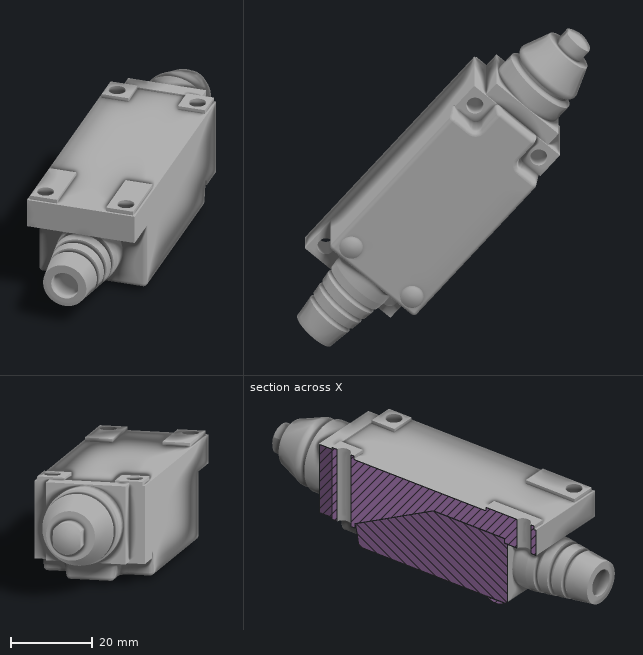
import cadquery as cq
import math


body_width = 28.0
body_length = 63.6
body_height = 24.5
lip_bottom = 17.2
split_top = 18.5
split_slope_start = 32.1
split_slope_end = 56.3
split_step_top = 6.1
split_step_bottom = 4.8

pad_width = 7.0
pad_height = 1.0
pad_margin = 0.6
gland_pad_length = 15.2
plunger_pad_length = 7.0
hole_diameter = 4.2
hole_spacing = 20.9
hole_end_distance = 3.8

cover_end = 8.9
cover_overhang = 0.2
cover_far_end = body_length + cover_overhang
cover_fillet = 1.0
notch_wall_x = 7.0
notch_corner_radius = 2.0
notch_draft = 10.0

screw_spacing = 19.9
screw_y = 12.8
screw_radius = 2.9
screw_head_height = 1.0

head_axis_z = 15.2
flange_width = 20.3
flange_height = 19.7
flange_thickness = 3.9
boot_collar_radius = 9.5
boot_collar_length = 4.8
boot_neck_radius = 8.0
boot_neck_start = 5.7
boot_neck_end = 6.4
boot_rim_radius = 9.0
boot_rim_y = 7.8
boot_cone_radius = 8.9
boot_cone_start = 8.4
boot_front_radius = 6.2
boot_length = 15.4
plunger_radius = 4.0
plunger_across_flats = 7.0
plunger_length = 5.0
plunger_dome_height = 1.3

gland_axis_z = 9.2
gland_radius = 7.9
gland_end_radius = 5.6
gland_bore_radius = 3.5
gland_straight_length = 4.1
gland_length = 21.5
groove_first = 6.3
groove_pitch = 3.9
groove_count = 3
groove_width = 1.4
groove_depth = 1.3


def revolve_about_y(profile, axis_z, start_y):
    """Turn a closed profile of (radius, distance along Y) about an axis parallel to Y."""
    turned = profile.close().revolve(360, (0, 0, 0), (0, 1, 0))
    return turned.translate((0, start_y, axis_z))


def extrude_side_outline(points):
    """Extrude a (Y, Z) outline over the full body width, centred on X = 0."""
    return cq.Workplane("YZ").polyline(points).close().extrude(body_width / 2, both=True)


split_line = [
    (split_slope_end, split_step_bottom),
    (split_slope_end, split_step_top),
    (split_slope_start, split_top),
    (cover_end + cover_fillet, split_top),
    (cover_end + cover_fillet, lip_bottom),
]


def make_housing():
    plunger_end = [(body_length, body_height), (body_length, split_step_bottom)]
    outline = [(0, body_height)] + plunger_end + split_line + [(0, lip_bottom)]
    housing = extrude_side_outline(outline)

    pad_x = body_width / 2 - pad_margin - pad_width / 2
    pads = [
        (gland_pad_length, pad_margin + gland_pad_length / 2),
        (plunger_pad_length, body_length - plunger_pad_length / 2),
    ]
    for pad_length, pad_y in pads:
        pad = (
            cq.Workplane("XY", origin=(0, 0, body_height))
            .pushPoints([(-pad_x, pad_y), (pad_x, pad_y)])
            .rect(pad_width, pad_length)
            .extrude(pad_height)
        )
        housing = housing.union(pad)

    holes = (
        cq.Workplane("XY", origin=(0, body_length / 2, 0))
        .rarray(hole_spacing, body_length - 2 * hole_end_distance, 2, 2)
        .circle(hole_diameter / 2)
        .extrude(body_height + pad_height)
    )
    return housing.cut(holes)


def make_corner_notch():
    """Drafted cutter for the -X, +Y corner of the cover; it widens downwards."""
    size = body_length
    depth = 2 * split_step_top
    growth = depth * math.tan(math.radians(notch_draft))
    notch = (
        cq.Workplane("XY", origin=(-notch_wall_x - size / 2, split_slope_end + size / 2, split_step_top))
        .rect(size, size)
        .workplane(offset=-depth)
        .rect(size + 2 * growth, size + 2 * growth)
        .loft(ruled=True)
    )
    inner_corner = (-notch_wall_x, split_slope_end, 0)
    return notch.edges(cq.selectors.NearestToPointSelector(inner_corner)).fillet(notch_corner_radius)


def make_cover():
    plunger_end = [(cover_far_end, 0), (cover_far_end, split_step_bottom)]
    outline = plunger_end + split_line + [(cover_end, lip_bottom), (cover_end, 0)]
    cover = extrude_side_outline(outline)
    notch = make_corner_notch()
    cover = cover.cut(notch).cut(notch.mirror("YZ"))

    half_width = body_width / 2
    for side in (-1, 1):
        upright_edges = [
            (side * half_width, cover_end, lip_bottom / 2),
            (side * half_width, split_slope_end, split_step_top / 2),
            (side * notch_wall_x, cover_far_end, split_step_bottom / 2),
        ]
        for point in upright_edges:
            cover = cover.edges(cq.selectors.NearestToPointSelector(point)).fillet(cover_fillet)
    return cover.faces("<Z").edges().fillet(cover_fillet)


def make_screw():
    """Spherical cap screw head, flat side up, at the origin."""
    sphere_radius = (screw_radius**2 + screw_head_height**2) / (2 * screw_head_height)
    cap = cq.Workplane("XY").sphere(sphere_radius).translate((0, 0, sphere_radius - screw_head_height))
    below = cq.Workplane("XY").circle(2 * screw_radius).extrude(-2 * screw_head_height)
    return cap.intersect(below)


def make_flange():
    return (
        cq.Workplane("XZ", origin=(0, body_length, head_axis_z))
        .rect(flange_width, flange_height)
        .extrude(-flange_thickness)
    )


def make_boot():
    profile = (
        cq.Workplane("ZY")
        .lineTo(boot_collar_radius, 0)
        .lineTo(boot_collar_radius, boot_collar_length)
        .lineTo(boot_neck_radius, boot_neck_start)
        .lineTo(boot_neck_radius, boot_neck_end)
        .threePointArc((boot_rim_radius, boot_rim_y), (boot_cone_radius, boot_cone_start))
        .lineTo(boot_front_radius, boot_length)
        .lineTo(0, boot_length)
    )
    return revolve_about_y(profile, head_axis_z, body_length + flange_thickness)


def make_plunger():
    dome_radius = (plunger_radius**2 + plunger_dome_height**2) / (2 * plunger_dome_height)
    shoulder = plunger_length - plunger_dome_height
    half_angle = math.asin(plunger_radius / dome_radius) / 2
    dome_mid = (
        dome_radius * math.sin(half_angle),
        plunger_length - dome_radius * (1 - math.cos(half_angle)),
    )
    profile = (
        cq.Workplane("ZY")
        .lineTo(plunger_radius, 0)
        .lineTo(plunger_radius, shoulder)
        .threePointArc(dome_mid, (0, plunger_length))
    )
    start_y = body_length + flange_thickness + boot_length
    plunger = revolve_about_y(profile, head_axis_z, start_y)
    flats = cq.Workplane("XY", origin=(0, start_y, head_axis_z)).box(
        plunger_across_flats, 3 * plunger_length, 3 * plunger_radius
    )
    return plunger.intersect(flats)


def gland_outer_radius(distance):
    """Radius of the gland's outer surface at a distance from the cover."""
    if distance <= gland_straight_length:
        return gland_radius
    taper = (gland_radius - gland_end_radius) / (gland_length - gland_straight_length)
    return gland_radius - taper * (distance - gland_straight_length)


def make_gland():
    profile = (
        cq.Workplane("ZY")
        .moveTo(gland_bore_radius, 0)
        .lineTo(gland_radius, 0)
        .lineTo(gland_radius, -gland_straight_length)
    )
    for index in range(groove_count):
        wall = groove_first + index * groove_pitch
        rise_end = wall + groove_width
        floor_radius = gland_outer_radius(wall) - groove_depth
        profile = (
            profile.lineTo(gland_outer_radius(wall), -wall)
            .lineTo(floor_radius, -wall)
            .lineTo(gland_outer_radius(rise_end), -rise_end)
        )
    profile = profile.lineTo(gland_end_radius, -gland_length).lineTo(gland_bore_radius, -gland_length)
    return revolve_about_y(profile, gland_axis_z, cover_end)


housing = make_housing()
cover = make_cover()
flange = make_flange()
boot = make_boot()
plunger = make_plunger()
gland = make_gland()
screws = [make_screw().translate((side * screw_spacing / 2, screw_y, 0)) for side in (-1, 1)]

result = cq.Compound.makeCompound(
    [housing.val(), cover.val(), flange.val(), boot.val(), plunger.val(), gland.val()]
    + [screw.val() for screw in screws]
)